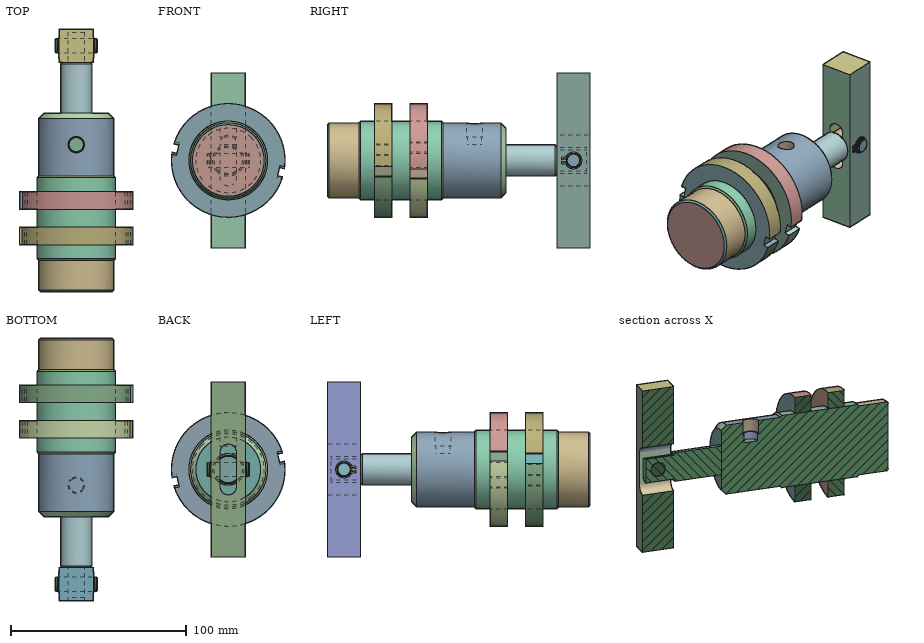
import cadquery as cq


total_length = 150.0
bar_width = 19.5
bar_depth = 19.0
bar_height = 100.0
bar_front = total_length - bar_depth
pin_y = total_length - bar_depth / 2

barrel_length = 102.0
thread_radius = 22.5
thread_chamfer = 1.0
barrel_radius = thread_radius - thread_chamfer
front_chamfer = 1.0
rear_chamfer = 3.0
thread_start = 18.0
thread_end = 66.2

port_y = 84.0
port_radius = 4.6
port_floor_z = 13.5
passage_radius = 4.0
passage_floor_z = 9.0

nut_radius = 65.0 / 2
nut_width = 10.0
nut_slot_width = 6.0
nut_slot_depth = 3.0
nut_fronts_and_turns = [(26.8, 11.4), (47.1, 13.7)]

rod_radius = 9.0
rod_chamfer = 0.9
tongue_radius = 7.5
tongue_end_margin = 7.5

slot_width = 9.3
slot_height = 29.0

pin_radius = 4.0
pin_length = 24.0
pin_chamfer = 0.5
groove_width = 0.9
ring_thickness = 0.5
ring_inner_radius = 3.8
ring_outer_radius = 4.8
ring_gap = 1.2
lug_reach = 6.9
lug_half_height = 2.1
lug_chamfer = 0.5
lug_notch_radius = 0.6
lug_notch_reach = 5.2


def y_cylinder(radius, start, length):
    """Cylinder on the Y axis from Y = start."""
    return cq.Workplane("XZ", origin=(0, start, 0)).circle(radius).extrude(-length)


def x_cylinder(radius, length):
    """Cylinder along X, centred on the pin position."""
    return cq.Workplane("YZ", origin=(0, pin_y, 0)).circle(radius).extrude(length / 2, both=True)


def z_cylinder(radius, bottom, top):
    """Upright cylinder at the port position."""
    return cq.Workplane("XY", origin=(0, port_y, bottom)).circle(radius).extrude(top - bottom)


def make_barrel():
    """Chamfered cylinder with a slightly larger threaded collar and a port on top."""
    core = y_cylinder(barrel_radius, 0, barrel_length)
    core = core.faces("<Y").chamfer(front_chamfer).faces(">Y").chamfer(rear_chamfer)
    thread = y_cylinder(thread_radius, thread_start, thread_end - thread_start)
    thread = thread.faces("<Y or >Y").chamfer(thread_chamfer)
    return core.union(thread).cut(make_port())


def make_port():
    """Stepped blind hole from above, wide at the mouth and narrower below."""
    port = z_cylinder(port_radius, port_floor_z, thread_radius)
    return port.union(z_cylinder(passage_radius, passage_floor_z, thread_radius))


def make_nut(front, turn):
    """Ring nut with two opposite wrench slots, turned about the Y axis."""
    nut = y_cylinder(nut_radius, front, nut_width).cut(y_cylinder(thread_radius, front, nut_width))
    slots = (
        cq.Workplane("XZ", origin=(0, front, 0))
        .pushPoints([(-nut_radius, 0), (nut_radius, 0)])
        .rect(2 * nut_slot_depth, nut_slot_width)
        .extrude(-nut_width)
    )
    return nut.cut(slots).rotate((0, 0, 0), (0, 1, 0), turn)


def make_rod():
    """Round rod with a flat-sided tongue, bored for the pin."""
    shank = y_cylinder(rod_radius, barrel_length, bar_front - barrel_length)
    shank = shank.faces(">Y").chamfer(rod_chamfer)
    tongue_length = pin_y + tongue_end_margin - bar_front
    flats = cq.Workplane("XY").box(slot_width, 2 * total_length, 2 * tongue_radius)
    tongue = y_cylinder(tongue_radius, bar_front, tongue_length).intersect(flats)
    return shank.union(tongue).cut(x_cylinder(pin_radius, bar_width))


def make_bar():
    """Upright clamping bar with a round-ended slot and a cross hole for the pin."""
    bar = cq.Workplane("XY", origin=(0, pin_y, 0)).box(bar_width, bar_depth, bar_height)
    slot = (
        cq.Workplane("XZ", origin=(0, bar_front, 0))
        .slot2D(slot_height, slot_width, 90)
        .extrude(-bar_depth)
    )
    return bar.cut(slot).cut(x_cylinder(pin_radius, bar_width))


def make_pin():
    """Pivot pin with a groove for a ring beside each face of the bar."""
    pin = x_cylinder(pin_radius, pin_length).faces("<X or >X").chamfer(pin_chamfer)
    for side in (-1, 1):
        groove = (
            cq.Workplane("YZ", origin=(side * bar_width / 2, pin_y, 0))
            .circle(2 * pin_radius)
            .circle(ring_inner_radius)
            .extrude(side * groove_width)
        )
        pin = pin.cut(groove)
    return pin


def make_ring(side):
    """Open retaining ring with two lugs pointing towards the barrel."""
    plane = cq.Workplane("YZ", origin=(side * bar_width / 2, pin_y, 0))
    thickness = side * ring_thickness
    lugs = (
        plane.center(-lug_reach / 2, 0)
        .rect(lug_reach, 2 * lug_half_height)
        .extrude(thickness)
        .edges("|X and <Y")
        .chamfer(lug_chamfer)
    )
    gap = plane.center(-lug_reach / 2, 0).rect(lug_reach, ring_gap).extrude(thickness)
    notches = (
        plane.pushPoints([(-lug_notch_reach, -ring_gap / 2), (-lug_notch_reach, ring_gap / 2)])
        .circle(lug_notch_radius)
        .extrude(thickness)
    )
    bore = plane.circle(ring_inner_radius).extrude(thickness)
    ring = plane.circle(ring_outer_radius).extrude(thickness)
    return ring.union(lugs).cut(bore).cut(gap).cut(notches)


barrel = make_barrel()
nuts = [make_nut(front, turn) for front, turn in nut_fronts_and_turns]
rod = make_rod()
bar = make_bar()
pin = make_pin()
rings = [make_ring(side) for side in (-1, 1)]

bodies = [barrel, *nuts, rod, bar, pin, *rings]
result = cq.Compound.makeCompound([body.val() for body in bodies])